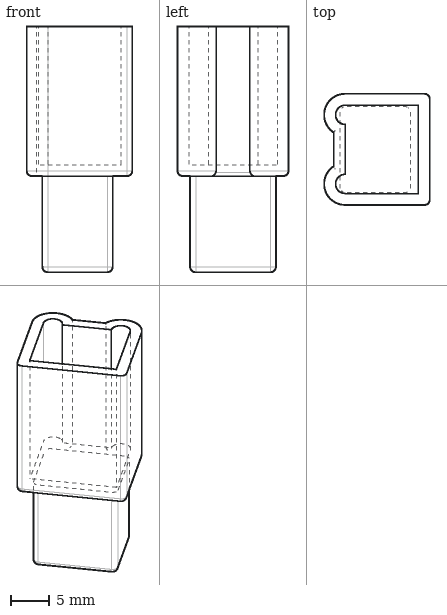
import cadquery as cq

total_height = 32
body_length = 13.8
body_width = 14.5

wall = 1.5
lobe_radius = 2.75
edge_radius = 0.75
recess_edge_radius = 0.48

plug_length = 9.2
plug_width = 11.2
plug_height = 12.5
plug_offset = 2.05

lobe_x = lobe_radius
lobe_y = body_width / 2 - lobe_radius
recess_x = lobe_x - wall


def make_block(start_x, end_x, width, base_z, top_z):
    """Plain block centred on Y = 0."""
    block = cq.Workplane("XY", origin=((start_x + end_x) / 2, 0, base_z))
    return block.rect(end_x - start_x, width).extrude(top_z - base_z)


def make_lobes(radius, base_z):
    """Pair of upright cylinders reaching the top of the part."""
    lobes = cq.Workplane("XY", origin=(lobe_x, 0, base_z))
    lobes = lobes.pushPoints([(0, -lobe_y), (0, lobe_y)])
    return lobes.circle(radius).extrude(total_height - base_z)


def make_body():
    box = make_block(lobe_x, body_length, body_width, plug_height, total_height)
    box = box.edges("|Z and >X").fillet(edge_radius)
    box = box.faces("<Z").edges("not <X").fillet(edge_radius)

    lobes = make_lobes(lobe_radius, plug_height).faces("<Z").edges().fillet(edge_radius)

    web = make_block(recess_x, lobe_x + lobe_radius, 2 * lobe_y, plug_height, total_height)
    web = web.edges("<X and <Z").fillet(recess_edge_radius)
    return box.union(lobes).union(web).clean()


def make_plug():
    plug = make_block(plug_offset, plug_offset + plug_length, plug_width, 0, plug_height)
    return plug.edges("|Z").fillet(edge_radius).faces("<Z").edges().fillet(edge_radius)


def make_socket():
    """Open-topped cavity that keeps the wall thickness all around and below."""
    floor_z = plug_height + wall
    cavity = make_block(lobe_x, body_length - wall, body_width - 2 * wall, floor_z, total_height)
    return cavity.union(make_lobes(lobe_radius - wall, floor_z))


result = make_body().union(make_plug()).cut(make_socket())